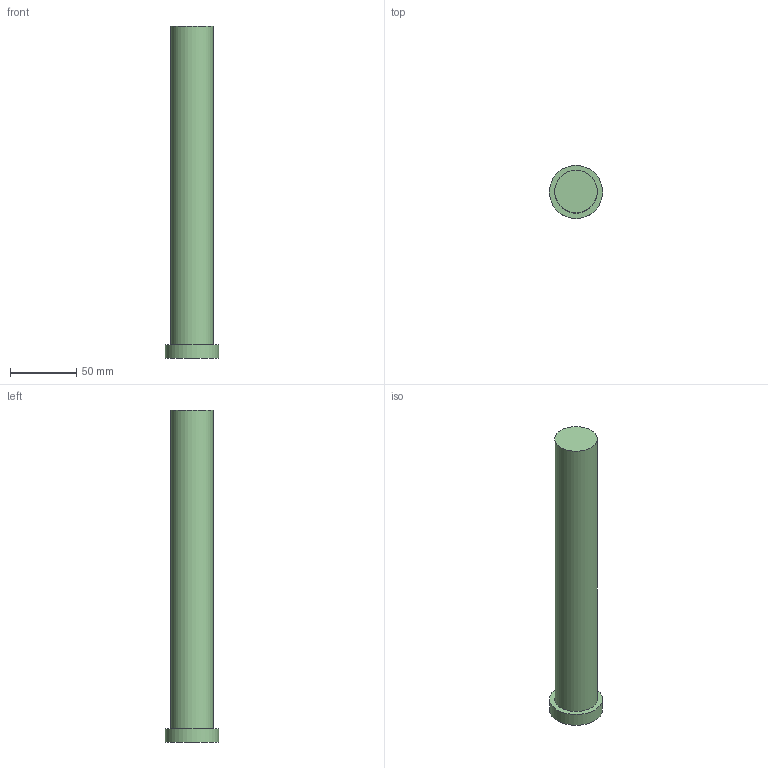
import cadquery as cq

TOTAL_LENGTH = 250.0
HEAD_DIAMETER = 40.0
HEAD_HEIGHT = 10.0
SHAFT_DIAMETER = 32.0


def make_head():
    """Flat round head standing on the XY plane."""
    return cq.Workplane("XY").circle(HEAD_DIAMETER / 2).extrude(HEAD_HEIGHT)


def add_shaft(head):
    """Plain round shaft rising from the top of the head."""
    shaft_length = TOTAL_LENGTH - HEAD_HEIGHT
    return head.faces(">Z").workplane().circle(SHAFT_DIAMETER / 2).extrude(shaft_length)


result = add_shaft(make_head())